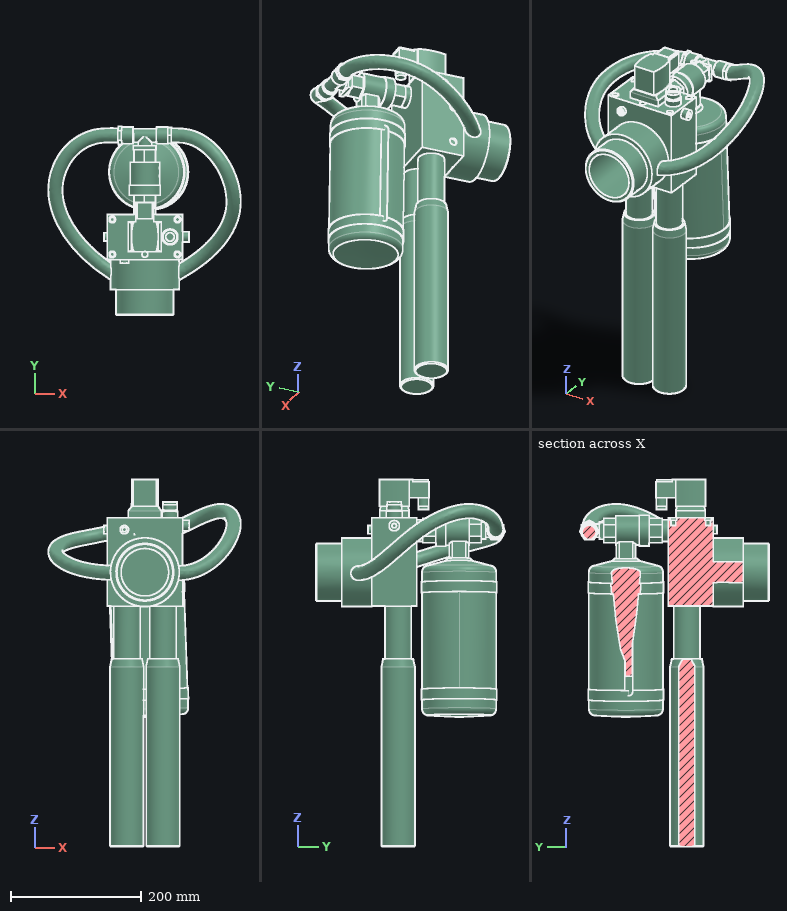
import cadquery as cq
import math


BLOCK_WIDTH = 116.0
BLOCK_DEPTH = 69.5
BLOCK_HEIGHT = 136.0
BLOCK_TOP = 84.5
BLOCK_BOTTOM = BLOCK_TOP - BLOCK_HEIGHT
BLOCK_MID_Y = BLOCK_DEPTH / 2
CORNER_HOLE_INSET = 8.0
COUNTERBORE_DIAMETER = 10.0
COUNTERBORE_DEPTH = 4.0
CORNER_HOLE_DIAMETER = 7.0
CORNER_HOLE_DEPTH = 12.0
SIDE_HOLE_DIAMETER = 11.45
SIDE_HOLE_DEPTH = 3.0
SIDE_HOLE_Y = 17.0
SIDE_HOLE_HEIGHTS = (29.5, -30.0)
TOP_HOLE_DIAMETER = 9.0
TOP_HOLE_DEPTH = 8.0
TOP_HOLE_Y = 8.0

PLUG_DIAMETER = 13.0
PLUG_SOCKET_DIAMETER = 7.0
PLUG_SOCKET_DEPTH = 4.0
PLUG_Z = 66.0
FRONT_PLUG_X = -31.5
FRONT_PLUG_LENGTH = 5.5
LEFT_PLUG_LENGTH = 5.0
RIGHT_PLUG_Z = 72.0
RIGHT_PLUG_DIAMETER = 16.0
RIGHT_PLUG_LENGTH = 10.0

FLANGE_RADIUS = 52.8
FLANGE_LENGTH = 46.0
PIPE_Z = 0.6
PIPE_RADIUS = 44.3
PIPE_BORE_RADIUS = 36.5
PIPE_END_Y = -85.5
PIPE_CHAMFER = 1.5

OVERALL_HEIGHT = 564.0
CONNECTOR_TOP = 143.1
LANCE_BOTTOM = CONNECTOR_TOP - OVERALL_HEIGHT
LANCE_SPACING = 55.4
LANCE_Y = 40.8
LANCE_RADIUS = 25.9
LANCE_NECK_RADIUS = 20.4
LANCE_CONE_RADIUS = 23.4
LANCE_CONE_TOP = -132.5
LANCE_CONE_BOTTOM = -144.5
LANCE_CHAMFER = 2.0

CONNECTOR_MID_Y = 35.0
CONNECTOR_LENGTH = 45.8
CONNECTOR_END_WIDTH = 35.0
CONNECTOR_MID_WIDTH = 41.0
CONNECTOR_BODY_BOTTOM = 101.5
BASE_WIDTH = 51.0
BASE_LENGTH = 45.5
BASE_HEIGHT = 10.5
TRANSITION_TOP_LENGTH = 42.5
OUTLET_WIDTH = 28.0
OUTLET_END_Y = 88.3
OUTLET_HEIGHT = 28.5
OUTLET_LID_HEIGHT = 3.5
OUTLET_NECK_END_Y = 63.0
OUTLET_LID_WIDTH = 23.0
OUTLET_LID_END_Y = 87.0
OUTLET_LID_DROP = 0.5
GLAND_RADIUS = 8.3
GLAND_Y = 79.7
GLAND_LENGTH = 13.0
GLAND_NUT_RADIUS = 7.8
GLAND_NUT_LENGTH = 5.0

ROUND_PLUG_X = 38.6
ROUND_PLUG_BASE_RADIUS = 12.2
ROUND_PLUG_BASE_HEIGHT = 9.5
ROUND_PLUG_HEAD_RADIUS = 11.2
ROUND_PLUG_HEAD_HEIGHT = 24.0
ROUND_PLUG_GROOVE_RADIUS = 9.3
ROUND_PLUG_GROOVE_HEIGHT = 2.0
ROUND_PLUG_CAP_RADIUS = 10.8
ROUND_PLUG_CAP_HEIGHT = 4.0
ROUND_PLUG_BORE_DIAMETER = 13.0
ROUND_PLUG_BORE_DEPTH = 6.0

VALVE_Z = 64.5
LEAN_ANGLE = 2.0
HEX_DIAGONAL = 38.0
VALVE_NIPPLE_RADIUS = 17.0
VALVE_COLLAR_RADIUS = 23.8
VALVE_BODY_RADIUS = 22.5
FRONT_HEX_Y = 78.5
COLLAR_Y = 98.5
VALVE_BODY_Y = 113.8
REAR_HEX_Y = 149.5
REAR_PLATE_Y = 168.5
REAR_PLATE_END_Y = 175.0
REAR_PLATE_WIDTH = 34.0
REAR_PLATE_HEIGHT = 25.7
BRANCH_RADIUS = 10.3
TEE_Y = 190.6
TEE_RADIUS = 10.35
TEE_HALF_LENGTH = 18.0
FERRULE_RADIUS = 12.85
FERRULE_END = 41.0
NUT_DIAGONAL = 28.7
NUT_WIDTH = 5.5

BOTTLE_Y = 134.3
BOTTLE_RADIUS = 57.1
BAND_RADIUS = 58.0
STEM_WIDTH = 30.0
STEM_CHAMFER = 4.5
STEM_BOTTOM = -42.5
NECK_RADIUS = 17.0
NECK_FOOT_RADIUS = 21.4
NECK_FOOT = -46.5
SHOULDER_RADIUS = 49.7
SHOULDER = -54.0
SHOULDER_FOOT = -64.0
UPPER_BAND_TOP = -79.0
UPPER_BAND_BOTTOM = -95.5
LOWER_BAND_TOP = -243.5
LOWER_BAND_BOTTOM = -260.0
BOTTLE_ROUND_START = -273.5
BOTTLE_BASE_RADIUS = 50.0
BOTTLE_BASE_EDGE = -283.5
BOTTLE_BASE = -286.5
SEAM_Y = 130.0
SEAM_WIDTH = 12.0
SEAM_TOP = -87.5
SEAM_BOTTOM = -251.5
SEAM_PROUD = 0.8

HOSE_RADIUS = 11.175
HOSE_START = (40.0, -26.0, 0.0)
LEFT_HOSE_POINTS = [
    (-HOSE_START[0], HOSE_START[1], HOSE_START[2]),
    (-90.0, 12.0, 4.0),
    (-117.0, 45.0, 12.5),
    (-137.1, 112.0, 33.5),
    (-108.0, 172.0, 50.0),
    (-76.0, 188.5, 56.5),
]
RIGHT_HOSE_POINTS = [
    HOSE_START,
    (87.0, 4.0, 8.0),
    (125.0, 47.0, 43.0),
    (136.2, 90.0, 75.0),
    (116.0, 151.0, 94.5),
    (69.0, 188.0, 77.5),
]


def box(x_size, y_min, y_max, z_min, z_max):
    """Box centred on X = 0."""
    return cq.Workplane("XY").box(x_size, y_max - y_min, z_max - z_min).translate(
        (0, (y_min + y_max) / 2, (z_min + z_max) / 2)
    )


def cylinder(start, direction, radius, length):
    return cq.Workplane("XY").add(
        cq.Solid.makeCylinder(radius, length, cq.Vector(*start), cq.Vector(*direction))
    )


def hexagon_along_y(y_min, y_max):
    """Hexagonal bar on the valve axis with corners at the top and bottom."""
    return (
        cq.Workplane("XZ", origin=(0, y_min, VALVE_Z))
        .polygon(6, HEX_DIAGONAL)
        .extrude(y_min - y_max)
        .rotate((0, 0, VALVE_Z), (0, 1, VALVE_Z), 90)
    )


def lean(shape):
    """Tip a shape about the valve axis so that its lower end moves towards +X."""
    return shape.rotate((0, 0, VALVE_Z), (0, 1, VALVE_Z), -LEAN_ANGLE)


def make_block():
    block = box(BLOCK_WIDTH, 0, BLOCK_DEPTH, BLOCK_BOTTOM, BLOCK_TOP)
    hole_spacing_x = BLOCK_WIDTH - 2 * CORNER_HOLE_INSET
    hole_spacing_y = BLOCK_DEPTH - 2 * CORNER_HOLE_INSET
    block = (
        block.faces(">Z")
        .workplane(centerOption="CenterOfBoundBox")
        .rect(hole_spacing_x, hole_spacing_y, forConstruction=True)
        .vertices()
        .cboreHole(CORNER_HOLE_DIAMETER, COUNTERBORE_DIAMETER, COUNTERBORE_DEPTH, CORNER_HOLE_DEPTH)
    )
    top_hole = cylinder((0, TOP_HOLE_Y, BLOCK_TOP), (0, 0, -1), TOP_HOLE_DIAMETER / 2, TOP_HOLE_DEPTH)
    block = block.cut(top_hole)
    for height in SIDE_HOLE_HEIGHTS:
        start = (-BLOCK_WIDTH / 2, SIDE_HOLE_Y, height)
        block = block.cut(cylinder(start, (1, 0, 0), SIDE_HOLE_DIAMETER / 2, SIDE_HOLE_DEPTH))
    return block


def make_plug(start, direction, diameter, length):
    """Screw plug standing on a block face, with a blind socket in its head."""
    end = [s + length * d for s, d in zip(start, direction)]
    inward = [-d for d in direction]
    socket = cylinder(end, inward, PLUG_SOCKET_DIAMETER / 2, PLUG_SOCKET_DEPTH)
    return cylinder(start, direction, diameter / 2, length).cut(socket)


def make_plugs():
    half_width = BLOCK_WIDTH / 2
    front = make_plug((FRONT_PLUG_X, 0, PLUG_Z), (0, -1, 0), PLUG_DIAMETER, FRONT_PLUG_LENGTH)
    left = make_plug((-half_width, BLOCK_MID_Y, PLUG_Z), (-1, 0, 0), PLUG_DIAMETER, LEFT_PLUG_LENGTH)
    right_start = (half_width, BLOCK_MID_Y, RIGHT_PLUG_Z)
    right = make_plug(right_start, (1, 0, 0), RIGHT_PLUG_DIAMETER, RIGHT_PLUG_LENGTH)
    return [front, left, right]


def make_flange_and_pipe():
    flange = cylinder((0, 0, PIPE_Z), (0, -1, 0), FLANGE_RADIUS, FLANGE_LENGTH)
    pipe = cylinder((0, 0, PIPE_Z), (0, -1, 0), PIPE_RADIUS, -PIPE_END_Y).faces("<Y").chamfer(PIPE_CHAMFER)
    return flange.union(pipe)


def make_lance(x):
    profile = [
        (0, BLOCK_BOTTOM),
        (LANCE_NECK_RADIUS, BLOCK_BOTTOM),
        (LANCE_NECK_RADIUS, LANCE_CONE_TOP),
        (LANCE_CONE_RADIUS, LANCE_CONE_TOP),
        (LANCE_RADIUS, LANCE_CONE_BOTTOM),
        (LANCE_RADIUS, LANCE_BOTTOM + LANCE_CHAMFER),
        (LANCE_RADIUS - LANCE_CHAMFER, LANCE_BOTTOM),
        (0, LANCE_BOTTOM),
    ]
    lance = cq.Workplane("XZ").polyline(profile).close().revolve(360, (0, 0), (0, 1))
    return lance.translate((x, LANCE_Y, 0))


def make_connector():
    front_y = CONNECTOR_MID_Y - CONNECTOR_LENGTH / 2
    back_y = CONNECTOR_MID_Y + CONNECTOR_LENGTH / 2
    half_end = CONNECTOR_END_WIDTH / 2
    half_mid = CONNECTOR_MID_WIDTH / 2
    body = (
        cq.Workplane("XY", origin=(0, 0, CONNECTOR_BODY_BOTTOM))
        .moveTo(-half_end, front_y)
        .lineTo(half_end, front_y)
        .threePointArc((half_mid, CONNECTOR_MID_Y), (half_end, back_y))
        .lineTo(-half_end, back_y)
        .threePointArc((-half_mid, CONNECTOR_MID_Y), (-half_end, front_y))
        .close()
        .extrude(CONNECTOR_TOP - CONNECTOR_BODY_BOTTOM)
    )
    base_top = BLOCK_TOP + BASE_HEIGHT
    base = (
        cq.Workplane("XY", origin=(0, CONNECTOR_MID_Y, BLOCK_TOP))
        .rect(BASE_WIDTH, BASE_LENGTH)
        .extrude(BASE_HEIGHT)
    )
    transition = (
        cq.Workplane("XY", origin=(0, CONNECTOR_MID_Y, base_top))
        .rect(BASE_WIDTH, BASE_LENGTH)
        .workplane(offset=CONNECTOR_BODY_BOTTOM - base_top)
        .rect(CONNECTOR_MID_WIDTH, TRANSITION_TOP_LENGTH)
        .loft()
    )
    outlet_bottom = CONNECTOR_TOP - OUTLET_HEIGHT
    ledge = CONNECTOR_TOP - OUTLET_LID_HEIGHT
    lid_top = CONNECTOR_TOP - OUTLET_LID_DROP
    neck = box(OUTLET_WIDTH, CONNECTOR_MID_Y, OUTLET_NECK_END_Y, outlet_bottom, CONNECTOR_TOP)
    outlet = box(OUTLET_WIDTH, OUTLET_NECK_END_Y, OUTLET_END_Y, outlet_bottom, ledge)
    lid = box(OUTLET_LID_WIDTH, OUTLET_NECK_END_Y, OUTLET_LID_END_Y, ledge, lid_top)
    gland = cylinder((0, GLAND_Y, outlet_bottom), (0, 0, -1), GLAND_RADIUS, GLAND_LENGTH)
    nut_top = outlet_bottom - GLAND_LENGTH
    nut = cylinder((0, GLAND_Y, nut_top), (0, 0, -1), GLAND_NUT_RADIUS, GLAND_NUT_LENGTH)
    return [base, transition, body, neck, outlet, lid, gland, nut]


def make_round_plug():
    place = (ROUND_PLUG_X, BLOCK_MID_Y, BLOCK_TOP)
    cap_bottom = ROUND_PLUG_HEAD_HEIGHT - ROUND_PLUG_CAP_HEIGHT
    groove_top = ROUND_PLUG_BASE_HEIGHT + ROUND_PLUG_GROOVE_HEIGHT
    profile = [
        (0, 0),
        (ROUND_PLUG_BASE_RADIUS, 0),
        (ROUND_PLUG_BASE_RADIUS, ROUND_PLUG_BASE_HEIGHT),
        (ROUND_PLUG_GROOVE_RADIUS, ROUND_PLUG_BASE_HEIGHT),
        (ROUND_PLUG_GROOVE_RADIUS, groove_top),
        (ROUND_PLUG_HEAD_RADIUS, groove_top),
        (ROUND_PLUG_HEAD_RADIUS, cap_bottom),
        (ROUND_PLUG_CAP_RADIUS, cap_bottom),
        (ROUND_PLUG_CAP_RADIUS, ROUND_PLUG_HEAD_HEIGHT),
        (ROUND_PLUG_BORE_DIAMETER / 2, ROUND_PLUG_HEAD_HEIGHT),
        (ROUND_PLUG_BORE_DIAMETER / 2, ROUND_PLUG_HEAD_HEIGHT - ROUND_PLUG_BORE_DEPTH),
        (0, ROUND_PLUG_HEAD_HEIGHT - ROUND_PLUG_BORE_DEPTH),
    ]
    plug = cq.Workplane("XZ").polyline(profile).close().revolve(360, (0, 0), (0, 1))
    return plug.translate(place)


def make_valve():
    """Valve body running back from the block, ending in the branch of the tee."""
    def section(y_min, y_max, radius):
        return cylinder((0, y_min, VALVE_Z), (0, 1, 0), radius, y_max - y_min)

    plate = box(
        REAR_PLATE_WIDTH,
        REAR_PLATE_Y,
        REAR_PLATE_END_Y,
        VALVE_Z - REAR_PLATE_HEIGHT / 2,
        VALVE_Z + REAR_PLATE_HEIGHT / 2,
    )
    return [
        section(BLOCK_DEPTH, FRONT_HEX_Y, VALVE_NIPPLE_RADIUS),
        hexagon_along_y(FRONT_HEX_Y, COLLAR_Y),
        section(COLLAR_Y, VALVE_BODY_Y, VALVE_COLLAR_RADIUS),
        section(VALVE_BODY_Y, REAR_HEX_Y, VALVE_BODY_RADIUS),
        hexagon_along_y(REAR_HEX_Y, REAR_PLATE_Y),
        plate,
        section(REAR_PLATE_END_Y, TEE_Y, BRANCH_RADIUS),
    ]


def make_tee():
    """Tee run along X, with a ferrule and a hexagonal nut at each end."""
    parts = [cylinder((-FERRULE_END, TEE_Y, VALVE_Z), (1, 0, 0), TEE_RADIUS, 2 * FERRULE_END)]
    for side in (-1, 1):
        ferrule_length = FERRULE_END - NUT_WIDTH - TEE_HALF_LENGTH
        start = (side * TEE_HALF_LENGTH, TEE_Y, VALVE_Z)
        parts.append(cylinder(start, (side, 0, 0), FERRULE_RADIUS, ferrule_length))
        nut_start = side * (FERRULE_END - NUT_WIDTH)
        nut = cq.Workplane("YZ", origin=(nut_start, TEE_Y, VALVE_Z)).polygon(6, NUT_DIAGONAL)
        nut = nut.extrude(side * NUT_WIDTH)
        if side > 0:
            nut = nut.rotate((0, TEE_Y, VALVE_Z), (1, TEE_Y, VALVE_Z), 90)
        parts.append(nut)
    return parts


def make_bottle():
    """Bottle with its square stem and side seam; heights count from the valve axis."""
    shell = (
        cq.Workplane("XZ")
        .moveTo(0, STEM_BOTTOM)
        .lineTo(NECK_RADIUS, STEM_BOTTOM)
        .lineTo(NECK_FOOT_RADIUS, NECK_FOOT)
        .lineTo(SHOULDER_RADIUS, SHOULDER)
        .tangentArcPoint((BOTTLE_RADIUS, SHOULDER_FOOT), relative=False)
        .lineTo(BOTTLE_RADIUS, UPPER_BAND_TOP)
        .lineTo(BAND_RADIUS, UPPER_BAND_TOP)
        .lineTo(BAND_RADIUS, UPPER_BAND_BOTTOM)
        .lineTo(BOTTLE_RADIUS, UPPER_BAND_BOTTOM)
        .lineTo(BOTTLE_RADIUS, LOWER_BAND_TOP)
        .lineTo(BAND_RADIUS, LOWER_BAND_TOP)
        .lineTo(BAND_RADIUS, LOWER_BAND_BOTTOM)
        .lineTo(BOTTLE_RADIUS, LOWER_BAND_BOTTOM)
        .lineTo(BOTTLE_RADIUS, BOTTLE_ROUND_START)
        .tangentArcPoint((BOTTLE_BASE_RADIUS, BOTTLE_BASE_EDGE), relative=False)
        .lineTo(0, BOTTLE_BASE)
        .close()
        .revolve(360, (0, 0), (0, 1))
        .translate((0, BOTTLE_Y, VALVE_Z))
    )
    stem = (
        cq.Workplane("XY", origin=(0, BOTTLE_Y, VALVE_Z + STEM_BOTTOM))
        .rect(STEM_WIDTH, STEM_WIDTH)
        .extrude(-STEM_BOTTOM)
        .edges("|Z")
        .chamfer(STEM_CHAMFER)
    )
    seam_length = SEAM_TOP - SEAM_BOTTOM
    seam_middle = VALVE_Z + (SEAM_TOP + SEAM_BOTTOM) / 2
    seam = (
        cq.Workplane("YZ", origin=(-BOTTLE_RADIUS - SEAM_PROUD, SEAM_Y, seam_middle))
        .slot2D(seam_length, SEAM_WIDTH, 90)
        .extrude(BOTTLE_RADIUS / 2)
    )
    return [shell, stem, seam]


def point_on_tee(offset):
    """Point on the leaning tee axis at a signed distance from the valve axis."""
    angle = math.radians(LEAN_ANGLE)
    return (offset * math.cos(angle), TEE_Y, VALVE_Z + offset * math.sin(angle))


def make_hose(points, side):
    """Hose from inside the flange, through the given points, into one end of the tee."""
    tee_points = [point_on_tee(side * FERRULE_END), point_on_tee(side * TEE_HALF_LENGTH)]
    path = cq.Edge.makeSpline([cq.Vector(*p) for p in points + tee_points])
    start_plane = cq.Plane(origin=points[0], normal=path.tangentAt(0))
    return cq.Workplane(start_plane).circle(HOSE_RADIUS).sweep(cq.Workplane("XY").add(path))


def make_pipe_bore():
    return cylinder((0, PIPE_END_Y, PIPE_Z), (0, 1, 0), PIPE_BORE_RADIUS, -PIPE_END_Y)


def build():
    leaning_parts = make_valve() + make_tee() + make_bottle()
    parts = [make_flange_and_pipe(), make_round_plug()]
    parts += [make_lance(side * LANCE_SPACING / 2) for side in (-1, 1)]
    parts += make_plugs() + make_connector()
    parts += [lean(part) for part in leaning_parts]
    parts += [make_hose(LEFT_HOSE_POINTS, -1), make_hose(RIGHT_HOSE_POINTS, 1)]
    body = make_block()
    for part in parts:
        body = body.union(part)
    return body.cut(make_pipe_bore())


result = build()